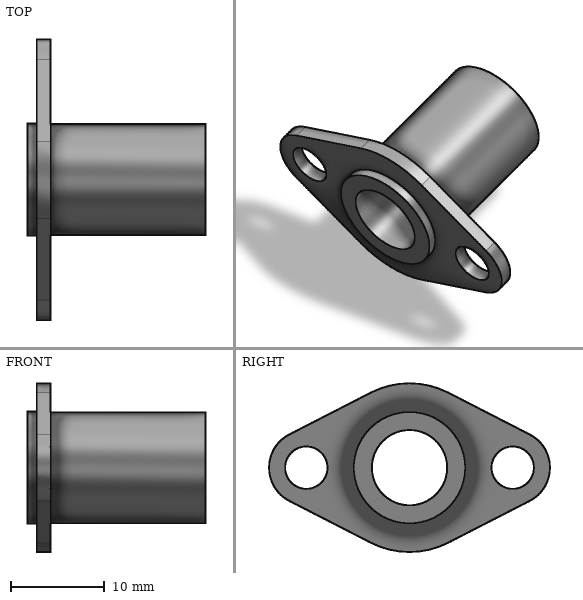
import cadquery as cq
import math

overall_width = 29.97
flange_height = 18.0
flange_thickness = 1.5
ear_radius = 4.0
ear_hole_diameter = 4.5

overall_length = 19.0
spigot_length = 1.0
spigot_diameter = 12.0
tube_diameter = 11.87
bore_diameter = 8.0

center_radius = flange_height / 2
ear_offset = overall_width / 2 - ear_radius
tube_length = overall_length - spigot_length - flange_thickness

tangent_angle = math.acos((center_radius - ear_radius) / ear_offset)
normal_y = math.cos(tangent_angle)
normal_z = math.sin(tangent_angle)


def plane_at(x):
    """YZ sketch plane at a distance x behind the spigot face."""
    return cq.Workplane("YZ", origin=(x, 0, 0))


def make_flange():
    center_y = center_radius * normal_y
    center_z = center_radius * normal_z
    ear_y = ear_offset + ear_radius * normal_y
    ear_z = ear_radius * normal_z
    plate = (
        plane_at(spigot_length)
        .moveTo(-center_y, center_z)
        .threePointArc((0, center_radius), (center_y, center_z))
        .lineTo(ear_y, ear_z)
        .threePointArc((overall_width / 2, 0), (ear_y, -ear_z))
        .lineTo(center_y, -center_z)
        .threePointArc((0, -center_radius), (-center_y, -center_z))
        .lineTo(-ear_y, -ear_z)
        .threePointArc((-overall_width / 2, 0), (-ear_y, ear_z))
        .close()
        .extrude(flange_thickness)
    )
    ear_holes = (
        plane_at(spigot_length)
        .pushPoints([(-ear_offset, 0), (ear_offset, 0)])
        .circle(ear_hole_diameter / 2)
        .extrude(flange_thickness)
    )
    return plate.cut(ear_holes)


spigot = plane_at(0).circle(spigot_diameter / 2).extrude(spigot_length)
tube = plane_at(spigot_length + flange_thickness).circle(tube_diameter / 2).extrude(tube_length)
bore = plane_at(0).circle(bore_diameter / 2).extrude(overall_length)

result = make_flange().union(spigot).union(tube).cut(bore)